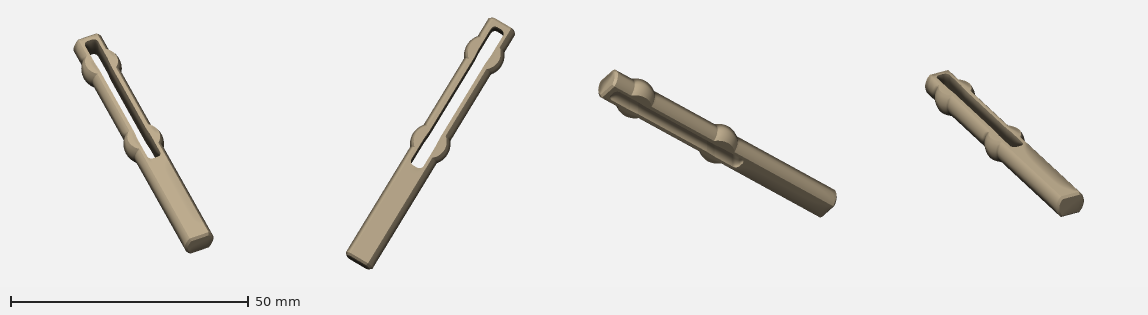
import cadquery as cq

length = 59.4
rod_diameter = 6.6
height = 5.0
end_chamfer = 0.5

bulge_diameter = 8.55
first_bulge_x = 7.65
bulge_spacing = 22.15
bulge_positions = (first_bulge_x, first_bulge_x + bulge_spacing)

slot_start = 1.5
slot_end = 36.0
slot_width = 2.95
waist_width = 2.7
slot_corner_radius = 1.0
wide_end_length = 6.0
taper_length = 2.0


def make_rod():
    """Flattened round bar along X, chamfered around both ends."""
    bar = cq.Workplane("YZ").circle(rod_diameter / 2).extrude(length)
    flats = cq.Workplane("XY").box(length, rod_diameter, height, centered=(False, True, True))
    return bar.intersect(flats).faces("<X or >X").chamfer(end_chamfer)


def make_bulge(x):
    """Sphere on the rod axis, cut level with the rod's flats."""
    ball = cq.Workplane("XY").sphere(bulge_diameter / 2)
    slab = cq.Workplane("XY").box(bulge_diameter, bulge_diameter, height)
    return ball.intersect(slab).translate((x, 0, 0))


def make_slot():
    """Rounded slot whose side walls taper in to a narrower waist."""
    taper_start = slot_start + wide_end_length
    taper_end = slot_end - wide_end_length
    upper_wall = [
        (slot_start, slot_width / 2),
        (taper_start, slot_width / 2),
        (taper_start + taper_length, waist_width / 2),
        (taper_end - taper_length, waist_width / 2),
        (taper_end, slot_width / 2),
        (slot_end, slot_width / 2),
    ]
    lower_wall = [(x, -y) for x, y in reversed(upper_wall)]
    slot = (
        cq.Workplane("XY")
        .workplane(offset=-height / 2)
        .polyline(upper_wall + lower_wall)
        .close()
        .extrude(height)
    )
    return slot.faces("<X or >X").edges("|Z").fillet(slot_corner_radius)


result = make_rod()
for bulge_x in bulge_positions:
    result = result.union(make_bulge(bulge_x))
result = result.cut(make_slot())